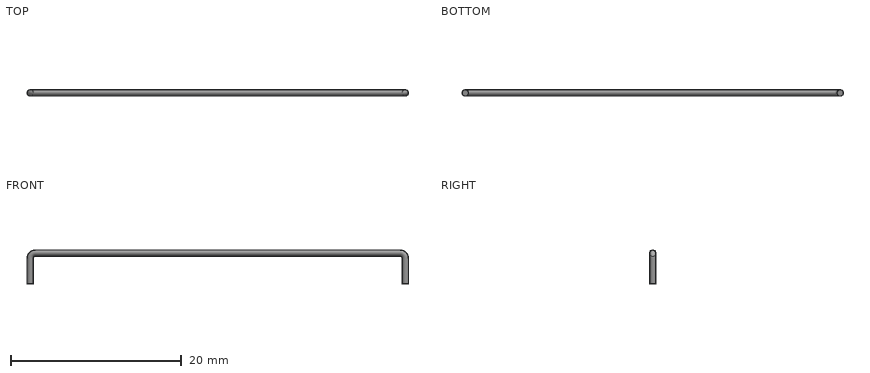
import cadquery as cq

wire_diameter = 0.75
leg_spacing = 44.0
leg_length = 3.0
bend_radius = 0.6

leg_x = leg_spacing / 2
bend_end_x = leg_x - bend_radius
bar_z = bend_radius


def wire_path():
    """Staple-shaped wire axis: leg, bend, straight bar, bend, leg."""
    return (
        cq.Workplane("XZ")
        .moveTo(-leg_x, -leg_length)
        .lineTo(-leg_x, 0)
        .radiusArc((-bend_end_x, bar_z), bend_radius)
        .lineTo(bend_end_x, bar_z)
        .radiusArc((leg_x, 0), bend_radius)
        .lineTo(leg_x, -leg_length)
    )


def jumper_wire():
    """Round wire swept along its axis from the foot of the left leg."""
    foot = cq.Workplane("XY", origin=(-leg_x, 0, -leg_length))
    return foot.circle(wire_diameter / 2).sweep(wire_path())


result = jumper_wire()